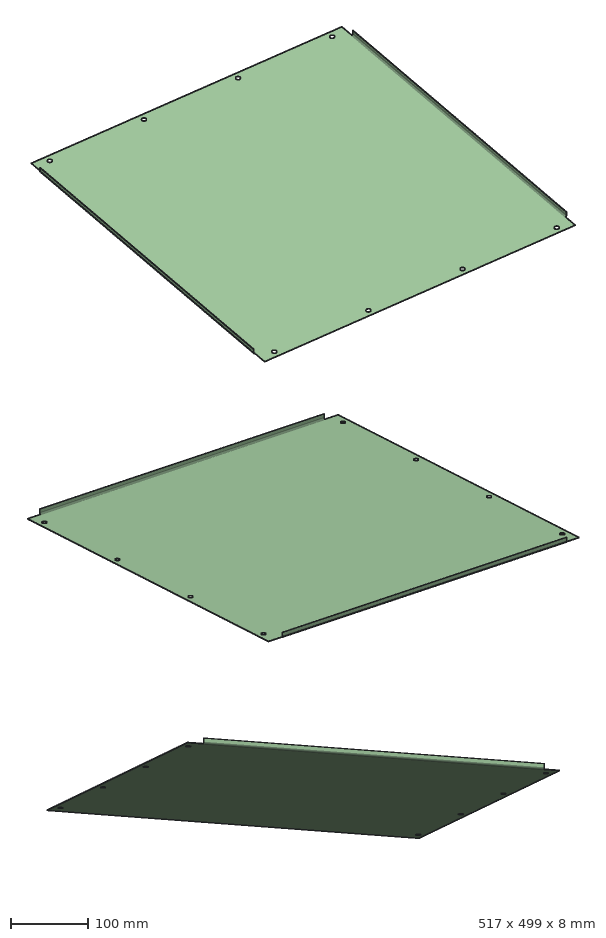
import cadquery as cq

panel_length = 517.0
panel_width = 499.0
panel_height = 8.0
sheet_thickness = 1.0

bend_inner_radius = 1.0
bend_outer_radius = bend_inner_radius + sheet_thickness
flange_end_inset = 21.5
flange_length = panel_length - 2 * flange_end_inset

hole_diameter = 6.5
hole_edge_inset = 10.0
hole_pitch = 150.0
holes_per_row = 4

flat_width = panel_width - 2 * bend_outer_radius


def flat_sheet():
    """Flat sheet with its underside on Z = 0."""
    return cq.Workplane("XY").box(
        panel_length, flat_width, sheet_thickness, centered=(True, True, False)
    )


def flange():
    """Bend and upright flange on the +Y edge."""
    bend_start = flat_width / 2
    outer_face = panel_width / 2
    inner_face = outer_face - sheet_thickness
    profile = (
        cq.Workplane("YZ", origin=(-flange_length / 2, 0, 0))
        .moveTo(bend_start, 0)
        .radiusArc((outer_face, bend_outer_radius), -bend_outer_radius)
        .lineTo(outer_face, panel_height)
        .lineTo(inner_face, panel_height)
        .lineTo(inner_face, bend_outer_radius)
        .radiusArc((bend_start, sheet_thickness), bend_inner_radius)
        .close()
    )
    return profile.extrude(flange_length)


def mounting_holes():
    """Cutters for both rows of through holes."""
    row_spacing = panel_length - 2 * hole_edge_inset
    return (
        cq.Workplane("XY")
        .rarray(row_spacing, hole_pitch, 2, holes_per_row)
        .circle(hole_diameter / 2)
        .extrude(sheet_thickness)
    )


back_flange = flange()
front_flange = back_flange.mirror("XZ")
result = flat_sheet().union(back_flange).union(front_flange).cut(mounting_holes())